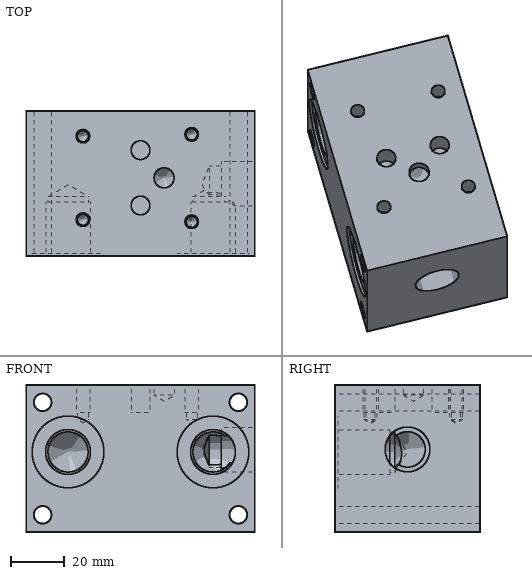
import cadquery as cq
import math

LENGTH = 85
DEPTH = 54.0
HEIGHT = 54.7
FRONT_Y = -DEPTH / 2
TOP_Z = HEIGHT / 2

DRILL_HALF_ANGLE = 59

MOUNT_DIAMETER = 6.5
MOUNT_SPACING_X = 72.8
MOUNT_SPACING_Z = 41.8

PORT_X = 26.95
PORT_Z = 2.5
SPOTFACE_DIAMETER = 26.7
SPOTFACE_DEPTH = 1.0
PORT_DIAMETER = 16.7
PORT_DEPTH = 20.3
PORT_CORE_DIAMETER = 15.0
PORT_CORE_DEPTH = 22.2

CAVITY_Y = 0
CAVITY_Z = 3.4
CAVITY_DIAMETER = 16.7
CAVITY_STEP_X = 30.0
CAVITY_NOSE_DIAMETER = 13.2
CAVITY_NOSE_X = 25.5
CAVITY_POINT_HALF_ANGLE = 67.5

FEED_X = 8.75
FEED_Y = 2.1
FEED_DIAMETER = 7.5
FEED_DEPTH = 3.7
WORK_PORT_X = 0
WORK_PORT_OFFSET_Y = 10.3
WORK_PORT_DIAMETER = 7.0
WORK_PORT_DEPTH = 10.2
BOLT_POINTS = [(-21.4, 17.6), (-21.4, -13.4), (19.0, 18.3), (19.0, -14.2)]
THREAD_DIAMETER = 5.0
THREAD_DEPTH = 10.2
TAP_DRILL_DIAMETER = 4.2
TAP_DRILL_DEPTH = 12.75


def bore(point, direction, diameter, depth):
    """Flat-bottomed cylinder cutting inwards from a point."""
    return cq.Workplane(cq.Solid.makeCylinder(diameter / 2, depth, cq.Vector(*point), cq.Vector(*direction)))


def drilled(point, direction, diameter, depth, half_angle=DRILL_HALF_ANGLE):
    """Cylinder of the given depth with a conical drill point beyond it."""
    start = cq.Vector(*point)
    axis = cq.Vector(*direction)
    radius = diameter / 2
    tip_length = radius / math.tan(math.radians(half_angle))
    tip = cq.Solid.makeCone(radius, 0, tip_length, start + axis * depth, axis)
    return bore(point, direction, diameter, depth).union(cq.Workplane(tip))


def front_port(x):
    """Spotface, threaded bore and core drill of one front port."""
    mouth = (x, FRONT_Y, PORT_Z)
    inward = (0, 1, 0)
    port = drilled(mouth, inward, PORT_CORE_DIAMETER, PORT_CORE_DEPTH)
    port = port.union(bore(mouth, inward, PORT_DIAMETER, PORT_DEPTH))
    return port.union(bore(mouth, inward, SPOTFACE_DIAMETER, SPOTFACE_DEPTH))


def side_cavity():
    """Stepped bore from the right side, ending in a drill point."""
    mouth = (LENGTH / 2, CAVITY_Y, CAVITY_Z)
    inward = (-1, 0, 0)
    nose_depth = LENGTH / 2 - CAVITY_NOSE_X
    nose = drilled(mouth, inward, CAVITY_NOSE_DIAMETER, nose_depth, CAVITY_POINT_HALF_ANGLE)
    return nose.union(bore(mouth, inward, CAVITY_DIAMETER, LENGTH / 2 - CAVITY_STEP_X))


def bolt_hole(x, y):
    """Tapped blind hole in the valve face."""
    mouth = (x, y, TOP_Z)
    down = (0, 0, -1)
    hole = drilled(mouth, down, TAP_DRILL_DIAMETER, TAP_DRILL_DEPTH)
    return hole.union(bore(mouth, down, THREAD_DIAMETER, THREAD_DEPTH))


result = cq.Workplane("XY").box(LENGTH, DEPTH, HEIGHT)

result = (
    result.faces("<Y")
    .workplane(origin=(0, 0, 0))
    .rarray(MOUNT_SPACING_X, MOUNT_SPACING_Z, 2, 2)
    .hole(MOUNT_DIAMETER)
)

for side in (-1, 1):
    result = result.cut(front_port(side * PORT_X))
result = result.cut(side_cavity())

result = result.cut(drilled((FEED_X, FEED_Y, TOP_Z), (0, 0, -1), FEED_DIAMETER, FEED_DEPTH))
for side in (-1, 1):
    work_mouth = (WORK_PORT_X, FEED_Y + side * WORK_PORT_OFFSET_Y, TOP_Z)
    result = result.cut(bore(work_mouth, (0, 0, -1), WORK_PORT_DIAMETER, WORK_PORT_DEPTH))
for x, y in BOLT_POINTS:
    result = result.cut(bolt_hole(x, y))